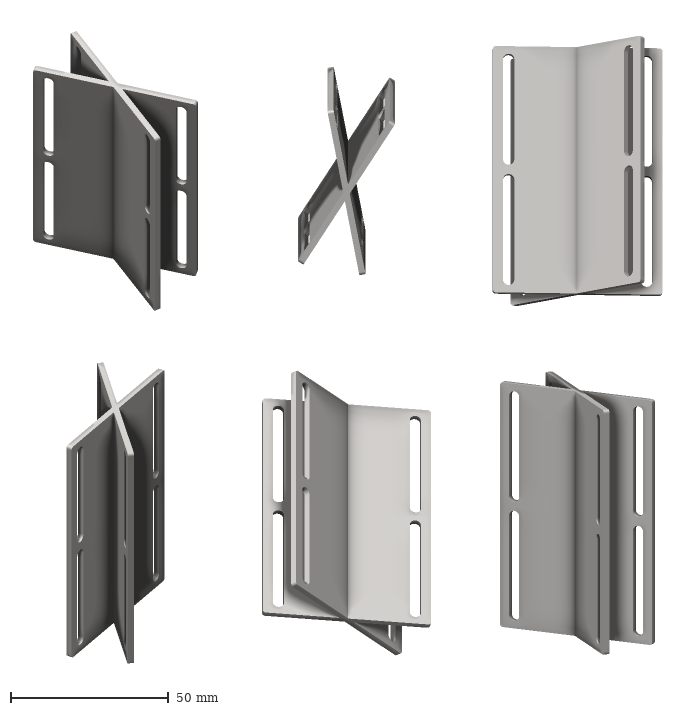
import cadquery as cq
import math

height = 80.0
plate_width = 53.8
thickness = 2.0
tilt = math.degrees(math.atan(0.4))
corner_radius = 1.0

slot_length = 36.0
slot_width = 3.6
slot_edge_gap = 3.2
slot_end_gap = 2.5
slot_x = plate_width / 2 - slot_edge_gap - slot_width / 2
slot_z = height / 2 - slot_end_gap - slot_length / 2


def slotted_plate():
    """Upright plate in the XZ plane with four vertical slots."""
    plate = cq.Workplane("XY").box(plate_width, thickness, height)
    plate = plate.edges("|Y").fillet(corner_radius)
    slots = (
        cq.Workplane("XZ")
        .rarray(2 * slot_x, 2 * slot_z, 2, 2)
        .slot2D(slot_length, slot_width, 90)
        .extrude(thickness, both=True)
    )
    return plate.cut(slots)


def tilted_plate(angle):
    return slotted_plate().rotate((0, 0, 0), (0, 0, 1), angle)


result = tilted_plate(tilt).union(tilted_plate(-tilt))